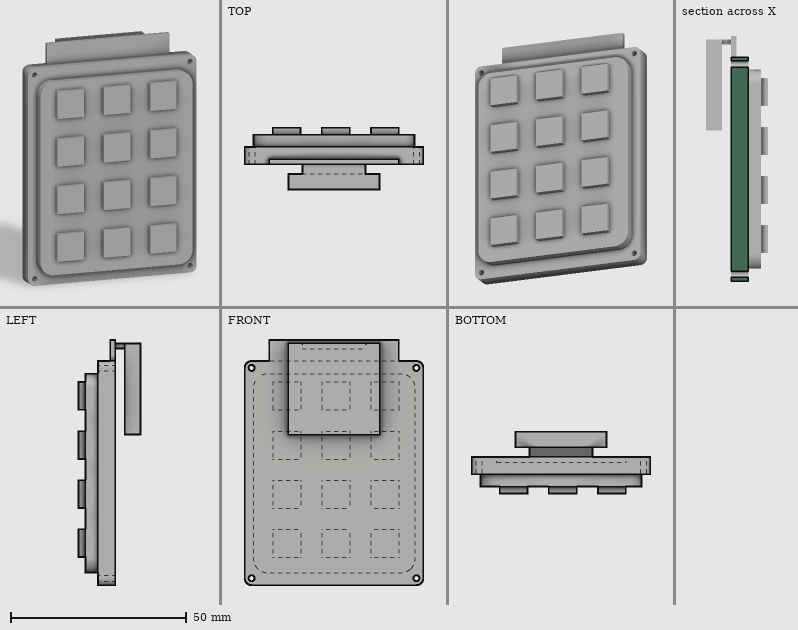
import cadquery as cq

BASE_WIDTH = 51.0
BASE_HEIGHT = 64.0
BASE_DEPTH = 5.0
BASE_CORNER_RADIUS = 2.0

HOLE_DIAMETER = 1.65
HOLE_INSET = BASE_CORNER_RADIUS

COVER_SIDE_INSET = 2.5
COVER_WIDTH = BASE_WIDTH - 2 * COVER_SIDE_INSET
COVER_END_INSET = 3.6
COVER_HEIGHT = BASE_HEIGHT - 2 * COVER_END_INSET
COVER_DEPTH = 3.5
COVER_CORNER_RADIUS = 4.0

KEY_COLUMNS = 3
KEY_ROWS = 4
KEY_SIZE = 8.0
KEY_PITCH = 14.0
KEY_DEPTH = 2.0
KEY_MARGIN = 8.0
KEY_FIRST_X = KEY_MARGIN - BASE_WIDTH / 2
KEY_FIRST_Z = KEY_MARGIN

TAB_WIDTH = 37.0
TAB_HEIGHT = 6.0
TAB_DEPTH = 1.5
TAB_TOP = BASE_HEIGHT + TAB_HEIGHT

DISPLAY_SIZE = 26.0
DISPLAY_DEPTH = 4.5
DISPLAY_TOP_GAP = 1.0
DISPLAY_TOP = TAB_TOP - DISPLAY_TOP_GAP
CONNECTOR_WIDTH = 18.0
CONNECTOR_HEIGHT = 1.5
CONNECTOR_DEPTH = 2.7


def block(x_min, y_min, z_min, width, depth, height):
    """Box given by its lowest corner and its sizes along X, Y and Z."""
    return cq.Workplane("XY").box(width, depth, height, centered=False).translate((x_min, y_min, z_min))


def centred_block(y_min, z_min, width, depth, height):
    """Box centred on X = 0."""
    return block(-width / 2, y_min, z_min, width, depth, height)


def make_base():
    plate = centred_block(0, 0, BASE_WIDTH, BASE_DEPTH, BASE_HEIGHT)
    plate = plate.edges("|Y").fillet(BASE_CORNER_RADIUS)
    holes = (
        cq.Workplane("XZ", origin=(0, 0, BASE_HEIGHT / 2))
        .rect(BASE_WIDTH - 2 * HOLE_INSET, BASE_HEIGHT - 2 * HOLE_INSET, forConstruction=True)
        .vertices()
        .circle(HOLE_DIAMETER / 2)
        .extrude(-BASE_DEPTH)
    )
    return plate.cut(holes)


def make_cover():
    cover = centred_block(BASE_DEPTH, COVER_END_INSET, COVER_WIDTH, COVER_DEPTH, COVER_HEIGHT)
    return cover.edges("|Y").fillet(COVER_CORNER_RADIUS)


def add_keys(body):
    key_face = BASE_DEPTH + COVER_DEPTH
    for column in range(KEY_COLUMNS):
        for row in range(KEY_ROWS):
            key_x = KEY_FIRST_X + column * KEY_PITCH
            key_z = KEY_FIRST_Z + row * KEY_PITCH
            body = body.union(block(key_x, key_face, key_z, KEY_SIZE, KEY_DEPTH, KEY_SIZE))
    return body


def make_tab():
    return centred_block(0, BASE_HEIGHT, TAB_WIDTH, TAB_DEPTH, TAB_HEIGHT)


def make_display():
    connector_bottom = DISPLAY_TOP - CONNECTOR_HEIGHT
    connector = centred_block(
        -CONNECTOR_DEPTH, connector_bottom, CONNECTOR_WIDTH, CONNECTOR_DEPTH, CONNECTOR_HEIGHT
    )
    module_front = -CONNECTOR_DEPTH - DISPLAY_DEPTH
    module_bottom = DISPLAY_TOP - DISPLAY_SIZE
    module = centred_block(module_front, module_bottom, DISPLAY_SIZE, DISPLAY_DEPTH, DISPLAY_SIZE)
    return connector.union(module)


housing = add_keys(make_base().union(make_cover()))
result = housing.union(make_tab()).union(make_display())